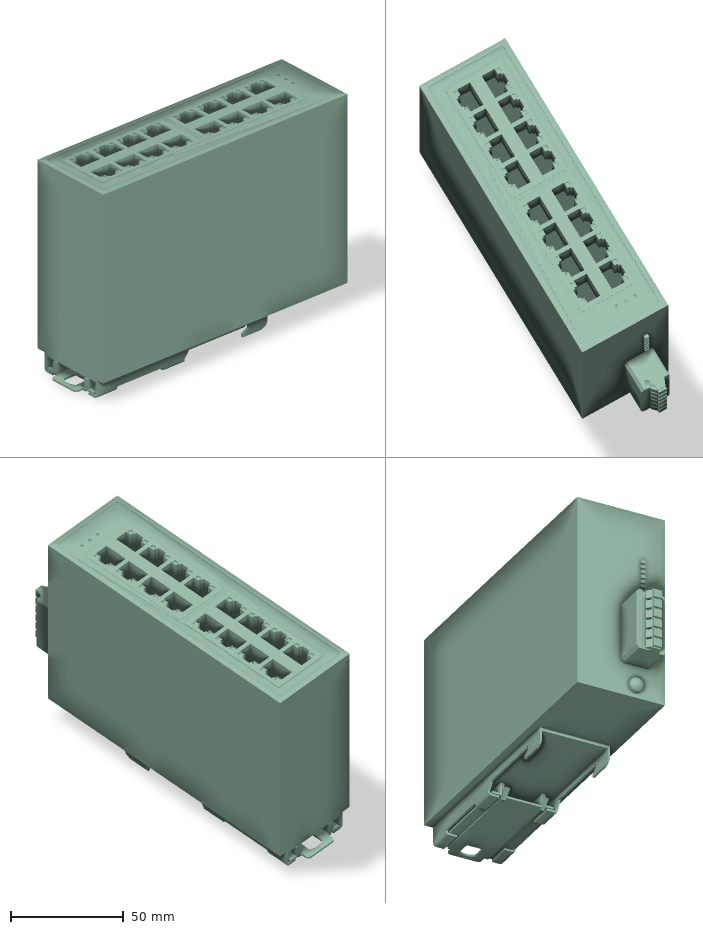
import cadquery as cq

CASE_WIDTH, CASE_LENGTH, CASE_HEIGHT = 44.0, 143.8, 94.7
PANEL_MARGIN = 2.5
PANEL_CORNER = 1.5
PANEL_DEPTH = 0.3
LABEL_DEPTH = 0.2

LABEL_LEFT_TOP, LABEL_RIGHT_TOP, LABEL_SHOULDER_Y = -19.4, 19.4, 132.7
LABEL_LEFT_FOOT = (-15.9, 66.1)
LABEL_RIGHT_FOOT = (14.9, 50.9)
LABEL_CORNER = 2.0

BLOCK_CENTER_X = -1.2
BLOCK_WIDTH, BLOCK_LENGTH = 28.3, 58.8
BLOCK_CENTERS_Y = (36.8, 98.1)
PORTS_PER_ROW = 4
PORT_PITCH = 13.9
PORT_LENGTH = 11.9
PORT_DEPTH = 11.7
PORT_INNER, PORT_OUTER = 3.0, 9.5
KEY_OUTER, KEY_LENGTH = 11.0, 6.0
LATCH_OUTER, LATCH_LENGTH = 12.0, 4.4
PORT_LED_SIZE = 2.0
PORT_LED_DEPTH = 0.5
PORT_LED_OFFSET = (10.7, 4.5)

LIGHT_COUNT = 3
LIGHT_PITCH = 4.94
LIGHT_START_X, LIGHT_Y = -11.7, 132.7
LIGHT_DIAMETER = 1.7
LIGHT_DEPTH = 0.3

PLUG_LEFT, PLUG_RIGHT = -14.4, 0.5
PLUG_BOTTOM, PLUG_HEIGHT = 16.0, 30.1
PLUG_SHOULDER, PLUG_BACK = 14.4, 15.2
NOSE_REACH = 18.2
NOSE_FOOT_X, NOSE_LEFT, NOSE_RIGHT = -11.5, -10.0, -6.0
PLUG_EDGE = 1.5
POLE_COUNT = 6
POLE_PITCH = 5.0
LEVER_HEIGHT = 3.8
LEVER_REACH = 19.4
LEVER_TOE = (-3.8, 16.0)
WINDOW_DEPTH = 0.5
WINDOW_START = 15.5
NOTCH_X, NOTCH_WIDTH, NOTCH_LENGTH, NOTCH_DEPTH = -3.7, 2.2, 3.5, 0.8

SWITCH_COUNT = 8
SWITCH_PITCH = 2.5
SWITCH_X, SWITCH_WIDTH = -10.4, 2.0
SWITCH_REACH, SWITCH_HEIGHT = 1.7, 1.5
SWITCH_CENTER_Z = 60.8

SCREW_X, SCREW_Z = (PLUG_LEFT + PLUG_RIGHT) / 2, 5.7
SCREW_RADIUS = 3.5
SCREW_RIM, SCREW_REACH = 2.0, 4.2

CLIP_HALF_WIDTH = 17.5
CLIP_PLATE = 1.5
CLIP_SETBACK = 0.2
SHEET = 1.0
WALL_BOTTOM = -7.5
HOOK_BACK, HOOK_BOTTOM = 100.8, -8.9
RAIL_SEAT, RAIL_FRONT = -4.0, 54.2
CLAW_TOP = -4.7
WALL_START = 51.9
FLANGE_BOTTOM = -9.5
FLANGE_INNER = 12.0
FLANGE_LENGTH = 12.0
FLANGE_BEND = 1.5

SLIDER_BOTTOM = -8.7
SLIDER_LENGTH = WALL_START
LEG_INNER = 9.2
LEG_GAP = 0.3
WING_OUTER, WING_BOTTOM = 15.4, -8.0
HANDLE_WIDTH, HANDLE_REACH = 16.7, 4.2
HANDLE_CORNER = 1.7
WINDOW_HALF_WIDTH, WINDOW_BACK_Y = 4.0, 6.7
WINDOW_CORNER_Y, WINDOW_TIP_Y = -0.5, -1.7
TAB_WIDTH, TAB_BOTTOM, TAB_Y = 4.7, -7.0, 25.1
PIN_RADIUS, PIN_LENGTH, PIN_Z = 0.8, 1.0, -2.8


def box(x0, x1, y0, y1, z0, z1):
    """Block between two opposite corners."""
    return cq.Workplane("XY").box(x1 - x0, y1 - y0, z1 - z0, centered=False).translate((x0, y0, z0))


def both_sides(shape):
    """The shape together with its mirror image across X = 0."""
    return shape.union(shape.mirror("YZ"))


def spread(count, pitch):
    """Evenly pitched offsets, centred on zero."""
    return [(i - (count - 1) / 2) * pitch for i in range(count)]


def make_case():
    """Case with the sunk top panel, the label field and the raised port blocks."""
    case = box(-CASE_WIDTH / 2, CASE_WIDTH / 2, 0, CASE_LENGTH, 0, CASE_HEIGHT)
    panel_floor = CASE_HEIGHT - PANEL_DEPTH
    half_panel = CASE_WIDTH / 2 - PANEL_MARGIN
    panel = box(
        -half_panel, half_panel, PANEL_MARGIN, CASE_LENGTH - PANEL_MARGIN, panel_floor, CASE_HEIGHT
    ).edges("|Z").fillet(PANEL_CORNER)
    foot_x, foot_y = LABEL_RIGHT_FOOT
    label = (
        cq.Workplane("XY", origin=(0, 0, panel_floor))
        .moveTo(*LABEL_LEFT_FOOT)
        .lineTo(LABEL_LEFT_TOP, LABEL_SHOULDER_Y)
        .lineTo(LABEL_LEFT_TOP, CASE_LENGTH)
        .lineTo(LABEL_RIGHT_TOP, CASE_LENGTH)
        .lineTo(LABEL_RIGHT_TOP, LABEL_SHOULDER_Y)
        .lineTo(foot_x, foot_y)
        .radiusArc((foot_x - LABEL_CORNER, foot_y - LABEL_CORNER), LABEL_CORNER)
        .lineTo(BLOCK_CENTER_X, foot_y - LABEL_CORNER)
        .lineTo(BLOCK_CENTER_X, LABEL_LEFT_FOOT[1])
        .close()
        .extrude(PANEL_DEPTH - LABEL_DEPTH)
        .intersect(panel)
    )
    case = case.cut(panel).union(label)
    for y in BLOCK_CENTERS_Y:
        block = box(
            BLOCK_CENTER_X - BLOCK_WIDTH / 2, BLOCK_CENTER_X + BLOCK_WIDTH / 2,
            y - BLOCK_LENGTH / 2, y + BLOCK_LENGTH / 2, panel_floor, CASE_HEIGHT,
        )
        case = case.union(block)
    return case


def make_port():
    """Socket cavity of the right-hand row, measured from the middle of the block."""
    floor = -PORT_DEPTH
    port = box(PORT_INNER, PORT_OUTER, -PORT_LENGTH / 2, PORT_LENGTH / 2, floor, 0)
    port = port.union(box(PORT_INNER, KEY_OUTER, -KEY_LENGTH / 2, KEY_LENGTH / 2, floor, 0))
    port = port.union(box(PORT_INNER, LATCH_OUTER, -LATCH_LENGTH / 2, LATCH_LENGTH / 2, floor, 0))
    led_x, led_y = PORT_LED_OFFSET
    leds = (
        cq.Workplane("XY")
        .pushPoints([(led_x, -led_y), (led_x, led_y)])
        .rect(PORT_LED_SIZE, PORT_LED_SIZE)
        .extrude(-PORT_LED_DEPTH)
    )
    return port.union(leds)


def make_ports():
    """All socket cavities, in mirrored pairs along both blocks."""
    pair = both_sides(make_port())
    ports = cq.Workplane("XY")
    for block_y in BLOCK_CENTERS_Y:
        for offset in spread(PORTS_PER_ROW, PORT_PITCH):
            ports = ports.add(pair.translate((BLOCK_CENTER_X, block_y + offset, CASE_HEIGHT)))
    return ports.combine()


def make_lights():
    """Round recesses for the status lights."""
    spots = [(LIGHT_START_X + i * LIGHT_PITCH, LIGHT_Y) for i in range(LIGHT_COUNT)]
    top = CASE_HEIGHT - PANEL_DEPTH + LABEL_DEPTH
    plane = cq.Workplane("XY", origin=(0, 0, top))
    return plane.pushPoints(spots).circle(LIGHT_DIAMETER / 2).extrude(-LIGHT_DEPTH)


def plug_prism(points, bottom, height):
    """Plan outline on the back wall of the case, raised along Z."""
    return cq.Workplane("XY", origin=(0, CASE_LENGTH, bottom)).polyline(points).close().extrude(height)


def make_plug():
    """Terminal plug with its stepped nose, levers and notch."""
    shell = box(
        PLUG_LEFT, PLUG_RIGHT, CASE_LENGTH, CASE_LENGTH + PLUG_BACK,
        PLUG_BOTTOM, PLUG_BOTTOM + PLUG_HEIGHT,
    )
    shell = shell.edges("|Y and <X").fillet(PLUG_EDGE)
    shell = shell.edges("|Y and >X").chamfer(PLUG_EDGE)
    left_step = [
        (PLUG_LEFT, PLUG_SHOULDER), (PLUG_LEFT, PLUG_BACK),
        (NOSE_LEFT, PLUG_BACK), (NOSE_LEFT, PLUG_SHOULDER),
    ]
    nose = [
        (NOSE_FOOT_X, PLUG_SHOULDER), (NOSE_LEFT, NOSE_REACH),
        (NOSE_RIGHT, NOSE_REACH), (NOSE_RIGHT, PLUG_SHOULDER),
    ]
    plug = shell.cut(plug_prism(left_step, PLUG_BOTTOM, PLUG_HEIGHT))
    plug = plug.union(plug_prism(nose, PLUG_BOTTOM, PLUG_HEIGHT))

    notch_end = CASE_LENGTH + PLUG_BACK
    notch = (
        cq.Workplane("XY", origin=(NOTCH_X, notch_end, PLUG_BOTTOM + PLUG_HEIGHT))
        .slot2D(2 * NOTCH_LENGTH, NOTCH_WIDTH, 90)
        .extrude(-NOTCH_DEPTH)
    )
    plug = plug.cut(notch)

    lever = [
        (NOSE_LEFT, NOSE_REACH), (NOSE_LEFT, LEVER_REACH), (NOSE_RIGHT, LEVER_REACH),
        (NOSE_RIGHT, NOSE_REACH), LEVER_TOE, (LEVER_TOE[0], PLUG_BACK), (NOSE_RIGHT, PLUG_BACK),
    ]
    slant = (NOSE_LEFT - NOSE_FOOT_X) / (NOSE_REACH - PLUG_SHOULDER)
    window_x = NOSE_FOOT_X + slant * (WINDOW_START - PLUG_SHOULDER)
    window = [
        (window_x, WINDOW_START), (NOSE_LEFT, NOSE_REACH),
        (NOSE_LEFT + WINDOW_DEPTH, NOSE_REACH), (window_x + WINDOW_DEPTH, WINDOW_START),
    ]
    middle = PLUG_BOTTOM + PLUG_HEIGHT / 2
    for offset in spread(POLE_COUNT, POLE_PITCH):
        bottom = middle + offset - LEVER_HEIGHT / 2
        plug = plug.union(plug_prism(lever, bottom, LEVER_HEIGHT))
        plug = plug.cut(plug_prism(window, bottom, LEVER_HEIGHT))
    return plug


def make_switch():
    """Row of small levers standing out from the back wall."""
    levers = cq.Workplane("XZ", origin=(SWITCH_X, CASE_LENGTH, SWITCH_CENTER_Z))
    spots = [(0, offset) for offset in spread(SWITCH_COUNT, SWITCH_PITCH)]
    return levers.pushPoints(spots).rect(SWITCH_WIDTH, SWITCH_HEIGHT).extrude(-SWITCH_REACH)


def make_screw():
    """Round head with a domed end, turned about the screw axis."""
    rise = SCREW_REACH - SCREW_RIM
    dome_radius = (SCREW_RADIUS**2 + rise**2) / (2 * rise)
    return (
        cq.Workplane("XY", origin=(SCREW_X, CASE_LENGTH, SCREW_Z))
        .lineTo(SCREW_RADIUS, 0)
        .lineTo(SCREW_RADIUS, SCREW_RIM)
        .radiusArc((0, SCREW_REACH), -dome_radius)
        .close()
        .revolve(360, (0, 0, 0), (0, 1, 0))
    )


def make_bracket():
    """Fixed sheet part: top plate, hooked side walls, short inward flanges and a tab with a pin."""
    wall_outline = [
        (CLIP_SETBACK, 0), (CLIP_SETBACK, WALL_BOTTOM), (WALL_START, WALL_BOTTOM),
        (RAIL_FRONT, CLAW_TOP), (RAIL_FRONT, RAIL_SEAT),
        (87.5, RAIL_SEAT), (87.5, -3.5), (89.4, -3.5), (89.4, -5.4), (86.0, -7.0), (86.0, HOOK_BOTTOM),
        (97.2, HOOK_BOTTOM), (99.6, -7.7), (HOOK_BACK, -5.7), (HOOK_BACK, 0),
    ]
    wall = (
        cq.Workplane("YZ", origin=(CLIP_HALF_WIDTH - SHEET, 0, 0))
        .polyline(wall_outline)
        .close()
        .extrude(SHEET)
    )
    side = wall
    for start in (CLIP_SETBACK, WALL_START - FLANGE_LENGTH):
        end = start + FLANGE_LENGTH
        foot = box(FLANGE_INNER, CLIP_HALF_WIDTH, start, end, FLANGE_BOTTOM, WALL_BOTTOM)
        foot = foot.edges("|Y and >X and <Z").fillet(FLANGE_BEND)
        hollow = box(
            FLANGE_INNER, CLIP_HALF_WIDTH - SHEET, start, end, FLANGE_BOTTOM + SHEET, WALL_BOTTOM
        )
        side = side.union(foot.cut(hollow))
    plate = box(-CLIP_HALF_WIDTH, CLIP_HALF_WIDTH, CLIP_SETBACK, HOOK_BACK, -CLIP_PLATE, 0)
    tab = box(-TAB_WIDTH / 2, TAB_WIDTH / 2, TAB_Y, TAB_Y + SHEET, TAB_BOTTOM, -CLIP_PLATE)
    pin = (
        cq.Workplane("XZ", origin=(0, TAB_Y, PIN_Z))
        .circle(PIN_RADIUS)
        .extrude(PIN_LENGTH)
    )
    return both_sides(side).union(plate).union(tab).union(pin)


def make_slider():
    """Sliding sheet part: folded runners, claws, and a pull handle at the front."""
    leg_outer = LEG_INNER + SHEET
    fold_inner = leg_outer + LEG_GAP
    fold_outer = fold_inner + SHEET
    runner = box(LEG_INNER, fold_outer, 0, SLIDER_LENGTH, SLIDER_BOTTOM, -CLIP_PLATE)
    runner = runner.edges("|Y and >Z").fillet(SHEET)
    runner = runner.cut(box(leg_outer, fold_inner, 0, SLIDER_LENGTH, SLIDER_BOTTOM, -CLIP_PLATE - SHEET))
    runner = runner.cut(box(fold_inner, fold_outer, 0, SLIDER_LENGTH, SLIDER_BOTTOM, WING_BOTTOM))
    wing = box(fold_inner, WING_OUTER, 0, SLIDER_LENGTH, WING_BOTTOM, WING_BOTTOM + SHEET)
    claw = (
        cq.Workplane("YZ", origin=(LEG_INNER, 0, 0))
        .polyline([(57.0, -6.7), (RAIL_FRONT, CLAW_TOP), (50.9, -7.9), (50.9, -9.7), (52.5, -10.7)])
        .close()
        .extrude(SHEET)
    )
    plate = box(-LEG_INNER, LEG_INNER, 0, SLIDER_LENGTH, SLIDER_BOTTOM, SLIDER_BOTTOM + SHEET)
    handle = box(
        -HANDLE_WIDTH / 2, HANDLE_WIDTH / 2, -HANDLE_REACH, WINDOW_BACK_Y,
        SLIDER_BOTTOM, SLIDER_BOTTOM + SHEET,
    ).edges("|Z and <Y").fillet(HANDLE_CORNER)
    window = (
        cq.Workplane("XY", origin=(0, 0, SLIDER_BOTTOM))
        .moveTo(-WINDOW_HALF_WIDTH, WINDOW_BACK_Y)
        .lineTo(-WINDOW_HALF_WIDTH, WINDOW_CORNER_Y)
        .threePointArc((0, WINDOW_TIP_Y), (WINDOW_HALF_WIDTH, WINDOW_CORNER_Y))
        .lineTo(WINDOW_HALF_WIDTH, WINDOW_BACK_Y)
        .close()
        .extrude(SHEET)
    )
    return both_sides(runner.union(wing).union(claw)).union(plate).union(handle).cut(window)


result = make_case().cut(make_ports()).cut(make_lights())
for part in (make_plug(), make_switch(), make_screw(), make_bracket(), make_slider()):
    result = result.union(part)